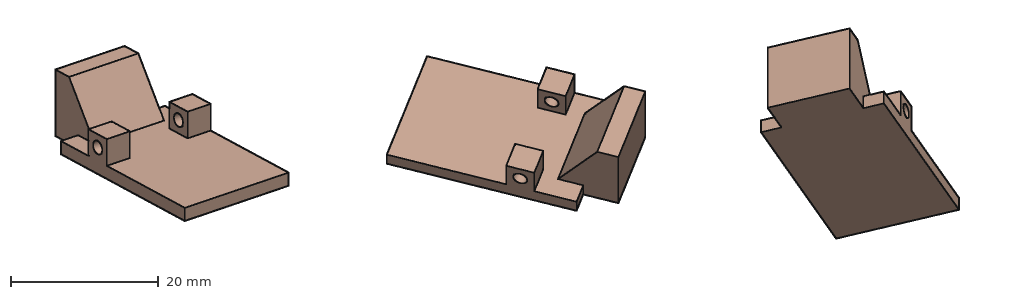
import cadquery as cq

length = 32.0
width = 18.0
height = 10.0

plate_start = 5.0
plate_thickness = 2.0

wedge_width = 12.0
wedge_top_length = 3.0
wedge_base_length = 10.0

lug_size = 4.0
lug_start = 11.0
hole_diameter = 2.0
lug_center_x = lug_start + lug_size / 2
lug_center_z = plate_thickness + lug_size / 2


def make_plate():
    return (
        cq.Workplane("XY")
        .box(length - plate_start, width, plate_thickness, centered=(False, True, False))
        .translate((plate_start, 0, 0))
    )


def make_wedge():
    profile = [(0, 0), (wedge_base_length, 0), (wedge_top_length, height), (0, height)]
    return cq.Workplane("XZ").polyline(profile).close().extrude(wedge_width / 2, both=True)


def make_lug(side):
    """Cubic lug flush with the plate edge; side is -1 or +1 along Y."""
    center_y = side * (width - lug_size) / 2
    return cq.Workplane("XY").box(lug_size, lug_size, lug_size).translate(
        (lug_center_x, center_y, lug_center_z)
    )


def make_pin_hole():
    """Cylinder along Y that passes through both lugs."""
    return (
        cq.Workplane("XZ")
        .center(lug_center_x, lug_center_z)
        .circle(hole_diameter / 2)
        .extrude(width, both=True)
    )


result = make_plate().union(make_wedge())
for side in (-1, 1):
    result = result.union(make_lug(side))
result = result.cut(make_pin_hole())